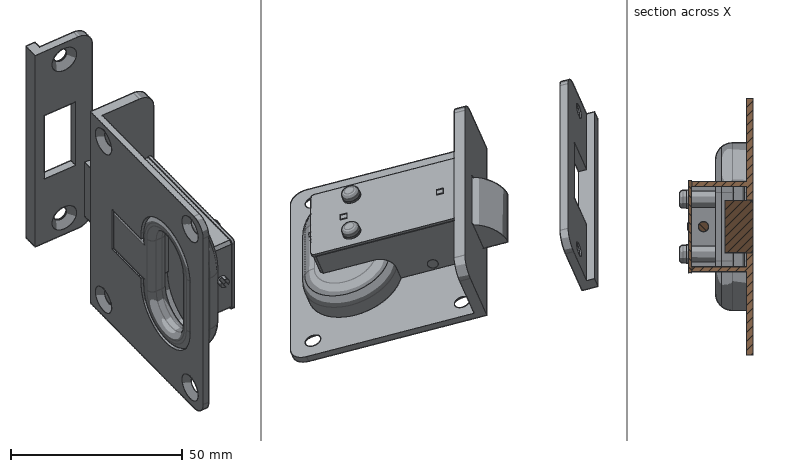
import cadquery as cq
import math


along_x = cq.Vector(1, 0, 0)
along_y = cq.Vector(0, 1, 0)

overall_length = 94.3
height = 75.0
flange_depth = 20.0
corner_radius = 5.0
hole_pitch_z = 62.1

plate_length = 60.0
plate_thickness = 2.0
flange_thickness = 3.3
mount_hole_diameter = 4.7
countersink_diameter = 8.6
mount_hole_inset = 7.0
mount_hole_pitch_x = 46.0

box_end_x = 47.6
box_half_height = 13.2
box_wall = 1.5
box_corner_size = 0.9

lid_thickness = 0.9
lid_outer_y = 19.0
lid_inner_y = lid_outer_y - lid_thickness
lid_overhang = 0.3
pad_size = 2.1
pad_height = 0.3
pad_positions_x = (8.0, 37.7)

cup_x = 40.0
cup_straight = 20.0
opening_radius = 13.0
cup_wall = 1.5
cup_floor = 1.8
cup_depth = 11.0
cup_corner_radius = 5.0
ring_width = 5.0
ring_rounding = 2.0
ring_thickness = 6.0
tongue_start_x = 11.6
tongue_height = 15.4
tongue_rounding = 1.1
pin_radius = 1.6
pin_x = 15.3
pin_y = 4.15
tongue_thickness = 2 * pin_y
tongue_end_x = cup_x - opening_radius + ring_rounding

bolt_projection = 7.45
bolt_height = 21.3
bolt_front_y = 2.9
bolt_back_y = 13.3
bolt_nose_width = 1.2
bolt_nose_radius = 12.0
bolt_tail_x = 10.4

rod_radius = 1.5
rod_y = 14.5
rod_end_x = 49.5
rod_slot_width = 1.0
rod_slot_depth = 1.3
rod_slot_tilt = 30

screw_x = 35.2
screw_offset_z = 8.0
screw_head_radius = 2.6
screw_head_height = 2.6
screw_collar_radius = 2.7
screw_collar_height = 0.6
screw_dome_radius = 1.1
screw_shank_radius = 1.1
screw_shank_length = 4.7
screw_tip_y = lid_outer_y - screw_shank_length
post_radius = 2.4

strike_width = 5.0
strike_thickness = 2.5
strike_lip_depth = 3.2
strike_window_height = 24.8
strike_window_back_y = 14.15
strike_hole_diameter = 4.4
strike_hole_y = 10.2


def block(x_min, x_max, y_min, y_max, block_height):
    """Box with the given X and Y limits, centred on Z = 0."""
    return (
        cq.Workplane("XY")
        .box(x_max - x_min, y_max - y_min, block_height, centered=(False, False, True))
        .translate((x_min, y_min, 0))
    )


def rod_along_y(x, z, y_min, y_max, radius):
    """Cylinder that points along +Y."""
    start = cq.Vector(x, y_min, z)
    return cq.Workplane(cq.Solid.makeCylinder(radius, y_max - y_min, start, along_y))


def rod_along_x(x_min, x_max, y, z, radius):
    """Cylinder that points along +X."""
    start = cq.Vector(x_min, y, z)
    return cq.Workplane(cq.Solid.makeCylinder(radius, x_max - x_min, start, along_x))


def racetrack(radius, depth):
    """Upright racetrack prism around the cup axis, from the front face to the given depth."""
    return (
        cq.Workplane("XZ", origin=(cup_x, 0, 0))
        .slot2D(cup_straight + 2 * radius, 2 * radius, 90)
        .extrude(-depth)
    )


def pin_cylinder():
    """Hinge pin along Z, flush with both side walls of the box."""
    return (
        cq.Workplane("XY", origin=(pin_x, pin_y, 0))
        .circle(pin_radius)
        .extrude(box_half_height, both=True)
    )


def rod_cylinder():
    """Cylinder of the guide rod, from the tail of the bolt out through the end wall of the box."""
    return rod_along_x(bolt_tail_x, rod_end_x, rod_y, 0, rod_radius)


def countersunk_hole(mouth_x, mouth_y, z, axis, hole_diameter, depth):
    """Cutter for a screw hole whose 90 degree countersink opens at the mouth point."""
    mouth = cq.Vector(mouth_x, mouth_y, z)
    hole = cq.Solid.makeCylinder(hole_diameter / 2, depth, mouth, axis)
    sink_depth = (countersink_diameter - hole_diameter) / 2
    sink = cq.Solid.makeCone(countersink_diameter / 2, hole_diameter / 2, sink_depth, mouth, axis)
    return cq.Workplane(hole).union(cq.Workplane(sink))


def make_case():
    """Face plate, flange, box and cup in one casting."""
    plate = block(0, plate_length, 0, plate_thickness, height).edges("|Y and >X").fillet(corner_radius)
    flange = block(0, flange_thickness, 0, flange_depth, height).edges("|X and >Y").fillet(corner_radius)

    box = block(0, box_end_x, 0, lid_inner_y, 2 * box_half_height).edges("|Y and >X").chamfer(box_corner_size)
    box_cavity = block(
        flange_thickness,
        box_end_x - box_wall,
        plate_thickness,
        lid_inner_y,
        2 * (box_half_height - box_wall),
    )

    cup = racetrack(opening_radius + cup_wall, cup_depth).faces(">Y").edges().fillet(cup_corner_radius)
    cup_cavity = racetrack(opening_radius, cup_depth - cup_floor)

    case = box.cut(box_cavity).union(plate).union(flange).union(cup)
    for x in (mount_hole_inset, mount_hole_inset + mount_hole_pitch_x):
        for z in (-hole_pitch_z / 2, hole_pitch_z / 2):
            case = case.cut(countersunk_hole(x, 0, z, along_y, mount_hole_diameter, plate_thickness))
    for z in (-screw_offset_z, screw_offset_z):
        case = case.union(rod_along_y(screw_x, z, cup_depth - cup_floor, lid_inner_y, post_radius))
        case = case.cut(rod_along_y(screw_x, z, screw_tip_y, lid_inner_y, screw_shank_radius))

    tongue_slot = block(tongue_start_x, tongue_end_x, 0, tongue_thickness, tongue_height)
    bolt_window = block(0, flange_thickness, bolt_front_y, bolt_back_y, bolt_height)
    return (
        case.cut(cup_cavity)
        .cut(tongue_slot)
        .cut(bolt_window)
        .cut(pin_cylinder())
        .cut(rod_cylinder())
    )


def make_lid():
    """Flat cover that slightly overhangs the box, with two square pads on its outer face."""
    lid_width = 2 * (box_half_height + lid_overhang)
    lid = (
        block(flange_thickness, box_end_x + lid_overhang, lid_inner_y, lid_outer_y, lid_width)
        .edges("|Y and >X")
        .fillet(box_corner_size + lid_overhang)
    )
    for x in pad_positions_x:
        lid = lid.union(
            block(x - pad_size / 2, x + pad_size / 2, lid_outer_y, lid_outer_y + pad_height, pad_size)
        )
    for z in (-screw_offset_z, screw_offset_z):
        lid = lid.cut(rod_along_y(screw_x, z, lid_inner_y, lid_outer_y, screw_shank_radius))
    return lid


def make_handle():
    """Pull ring with rounded edges and the hinged tongue beside it."""
    ring = (
        racetrack(opening_radius, ring_thickness)
        .cut(racetrack(opening_radius - ring_width, ring_thickness))
        .faces("|Y")
        .edges()
        .fillet(ring_rounding)
    )
    tongue = (
        block(tongue_start_x, tongue_end_x, 0, tongue_thickness, tongue_height)
        .faces("<Y")
        .edges("<X or |X")
        .fillet(tongue_rounding)
    )
    return ring.union(tongue).cut(pin_cylinder())


def make_bolt():
    """Latch bolt whose nose is sloped by one large arc."""
    nose_y = bolt_front_y + bolt_nose_width
    arc_centre_y = bolt_back_y - bolt_nose_radius
    arc_centre_x = -bolt_projection + math.sqrt(bolt_nose_radius**2 - (nose_y - arc_centre_y) ** 2)
    return (
        cq.Workplane("XY")
        .moveTo(-bolt_projection, bolt_front_y)
        .lineTo(-bolt_projection, nose_y)
        .radiusArc((arc_centre_x, bolt_back_y), bolt_nose_radius)
        .lineTo(bolt_tail_x, bolt_back_y)
        .lineTo(bolt_tail_x, bolt_front_y)
        .close()
        .extrude(bolt_height / 2, both=True)
    )


def make_guide_rod():
    """Guide rod with a screwdriver slot, tilted about the rod axis, across its outer end."""
    slot = (
        block(rod_end_x - rod_slot_depth, rod_end_x, -rod_slot_width / 2, rod_slot_width / 2, 2 * rod_radius)
        .rotate((0, 0, 0), (1, 0, 0), rod_slot_tilt)
        .translate((0, rod_y, 0))
    )
    return rod_cylinder().cut(slot)


def make_screw(z):
    """Dome-headed screw, with a thin collar under its head, that clamps the lid to its post."""
    head = (
        rod_along_y(screw_x, z, lid_outer_y, lid_outer_y + screw_head_height, screw_head_radius)
        .faces(">Y")
        .edges()
        .fillet(screw_dome_radius)
    )
    collar = rod_along_y(screw_x, z, lid_outer_y, lid_outer_y + screw_collar_height, screw_collar_radius)
    shank = rod_along_y(screw_x, z, screw_tip_y, lid_outer_y, screw_shank_radius)
    return head.union(collar).union(shank)


def make_strike():
    """Strike plate with a front lip, a window for the bolt and two fixing holes countersunk from inside."""
    left_x = plate_length - overall_length
    right_x = left_x + strike_width
    plate_left_x = right_x - strike_thickness
    plate = block(plate_left_x, right_x, 0, flange_depth, height).edges("|X and >Y").fillet(corner_radius)
    strike = plate.union(block(left_x, right_x, 0, strike_lip_depth, height))
    strike = strike.cut(
        block(plate_left_x, right_x, strike_lip_depth, strike_window_back_y, strike_window_height)
    )
    for z in (-hole_pitch_z / 2, hole_pitch_z / 2):
        strike = strike.cut(
            countersunk_hole(
                right_x, strike_hole_y, z, along_x * -1, strike_hole_diameter, strike_thickness
            )
        )
    return strike


case = make_case()
lid = make_lid()
handle = make_handle()
hinge_pin = pin_cylinder()
bolt = make_bolt()
guide_rod = make_guide_rod()
screws = [make_screw(z) for z in (-screw_offset_z, screw_offset_z)]
strike = make_strike()

result = cq.Compound.makeCompound(
    [
        case.val(),
        lid.val(),
        handle.val(),
        hinge_pin.val(),
        bolt.val(),
        guide_rod.val(),
        *[screw.val() for screw in screws],
        strike.val(),
    ]
)